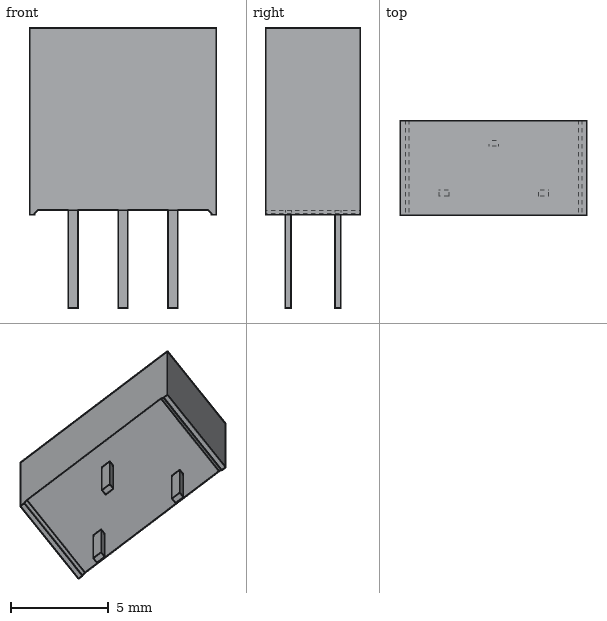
import cadquery as cq

body_length = 9.52
body_depth = 4.83
total_height = 14.3
pin_length_below_feet = 4.76
body_height = total_height - pin_length_below_feet

relief_height = 0.25
foot_width = 0.26
foot_chamfer = 0.17

pin_pitch = 2.55
pin_width = 0.5
pin_thickness = 0.3
pin_row_offset = pin_pitch / 2

body_base = -body_height / 2
pin_tip = body_base - pin_length_below_feet
relief_top = body_base + relief_height


def make_body():
    """Rectangular housing with its underside relieved between two end feet."""
    half_length = body_length / 2
    foot_inner = half_length - foot_width
    half_outline = [
        (0, relief_top),
        (foot_inner - foot_chamfer, relief_top),
        (foot_inner, relief_top - foot_chamfer),
        (foot_inner, body_base),
        (half_length, body_base),
        (half_length, body_height / 2),
        (0, body_height / 2),
    ]
    return (
        cq.Workplane("XZ")
        .polyline(half_outline)
        .mirrorY()
        .extrude(body_depth / 2, both=True)
    )


def make_pins():
    """Outer pins in the -Y row, centre pin in the +Y row."""
    pin_centres = [
        (-pin_pitch, -pin_row_offset),
        (0, pin_row_offset),
        (pin_pitch, -pin_row_offset),
    ]
    return (
        cq.Workplane("XY", origin=(0, 0, pin_tip))
        .pushPoints(pin_centres)
        .rect(pin_width, pin_thickness)
        .extrude(relief_top - pin_tip)
    )


result = make_body().union(make_pins())